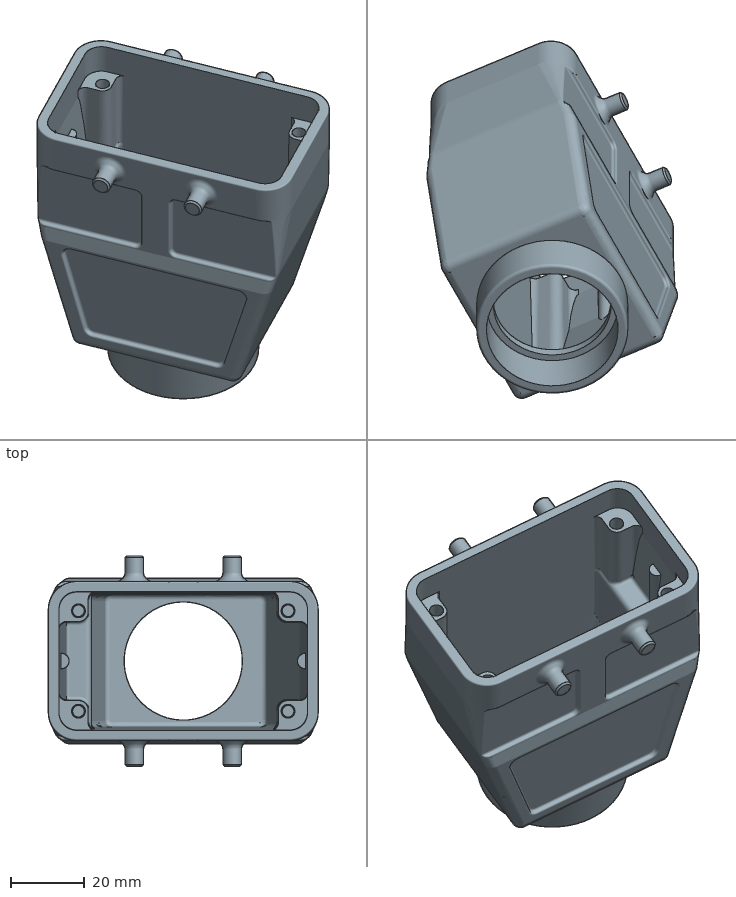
import cadquery as cq

TOTAL_HEIGHT = 85.0
BODY_BOTTOM = 13.0
RAMP_BOTTOM = 48.45
RAMP_TOP = 52.5
KNEE = 53.55
COLLAR_BOTTOM = 73.8

COLLAR_WIDTH = 73.2
COLLAR_HALF_X = COLLAR_WIDTH / 2
COLLAR_HALF_Y = 21.5
COLLAR_RADIUS = 7.65
BODY_HALF_Y = 22.4
BODY_RADIUS = 2.55
KNEE_HALF_X = 34.8
BOTTOM_HALF_X = 23.8
SIDE_SLOPE = (KNEE_HALF_X - BOTTOM_HALF_X) / (KNEE - BODY_BOTTOM)
RIM_FILLET = 0.4
KNEE_FILLET = 7.65
BOTTOM_FILLET = 2.5

NECK_DIAMETER = 41.0
NECK_FILLET = 0.85
OPENING_DIAMETER = 32.0
NECK_BORE_DIAMETER = 35.6

PIN_X = 13.3
PIN_Z = 78.8
PIN_RADIUS = 2.55
PIN_SPAN = 57.0
PIN_TIP_Y = PIN_SPAN / 2
PIN_TIP_CHAMFER = 0.5
PIN_CONE_HEIGHT = 1.6
PIN_BLEND = 1.5
PIN_PAD_MARGIN = 0.8

PANEL_DEPTH = 1.3
PANEL_FLOOR_FILLET = 0.7
PANEL_RIM_FILLET = 0.5
PANEL_END_FILLET = 0.4
RIB_HALF_WIDTH = 4.2
UPPER_PANEL_TOP = 73.7
UPPER_PANEL_BOTTOM = 53.2
UPPER_PANEL_RADIUS = 1.9
LOWER_PANEL_TOP = 47.4
LOWER_PANEL_BOTTOM = 18.1
LOWER_PANEL_TOP_HALF_X = 27.2
LOWER_PANEL_BOTTOM_HALF_X = 19.6
LOWER_PANEL_RADIUS = 2.4

MOUTH_HALF_X = 33.7
MOUTH_HALF_Y = 18.8
MOUTH_RADIUS = 4.8
CAVITY_KNEE_HALF_X = 31.6
CAVITY_FLOOR = 15.7
CAVITY_FLOOR_X_MIN = -20.8
CAVITY_FLOOR_X_MAX = 22.4
CAVITY_FLOOR_HALF_Y = 17.85
CAVITY_RADIUS = 1.7
CAVITY_FLOOR_FILLET = 1.3
WALL_DRAFT = (MOUTH_HALF_Y - CAVITY_FLOOR_HALF_Y) / (TOTAL_HEIGHT - CAVITY_FLOOR)

BOSS_TOP = 76.25
BOSS_INNER_X = 25.75
BOSS_INNER_Y = 10.7
BOSS_RADIUS = 2.55
BOSS_BLEND = 2.0
BOSS_DRAFT = 0.5
SCREW_X = 28.4
SCREW_Y = 13.6
SCREW_DIAMETER = 3.7
SCREW_DEPTH = 11.9
SCREW_DRAFT = 1.4
LEDGE_TOP = 52.7
LEDGE_INNER_X = -24.9
LEDGE_FILLET = 1.5
LEDGE_WALL_FILLET = 0.85
LEDGE_BOSS_FILLET = 0.85
END_RIB_TOP = 68.0
END_RIB_X = 33.1
END_RIB_RADIUS = 2.1

SIDES = (-1, 1)
NEARBY = 0.1
OVERLAP = 0.85
SLAB_HALF_X = COLLAR_WIDTH


def section(z, x_min, x_max, half_y, radius):
    """Closed rounded rectangle at height z."""
    corners = [(x_min, -half_y, z), (x_max, -half_y, z), (x_max, half_y, z), (x_min, half_y, z)]
    wire = cq.Wire.makePolygon([cq.Vector(*corner) for corner in corners], close=True)
    return wire.fillet2D(radius, wire.Vertices())


def centred_section(z, half_x, half_y, radius):
    return section(z, -half_x, half_x, half_y, radius)


def straight_loft(*sections):
    return cq.Workplane(cq.Solid.makeLoft(list(sections), True))


def box_between(low, high):
    size = [top - bottom for bottom, top in zip(low, high)]
    return cq.Workplane("XY", origin=low).box(*size, centered=False)


def edges_near(solid, low, high):
    """Edges of the solid whose centres lie in the given box."""
    return solid.edges(cq.selectors.BoxSelector(low, high))


def body_half_x(z):
    """Half width of the tapered lower body at height z."""
    return BOTTOM_HALF_X + SIDE_SLOPE * (z - BODY_BOTTOM)


def make_hood():
    """Outer hood: tapered body, ramp to the narrower upper part, and the straight collar."""
    hood = straight_loft(
        centred_section(BODY_BOTTOM, BOTTOM_HALF_X, BODY_HALF_Y, BODY_RADIUS),
        centred_section(RAMP_BOTTOM, body_half_x(RAMP_BOTTOM), BODY_HALF_Y, BODY_RADIUS),
        centred_section(RAMP_TOP, body_half_x(RAMP_TOP), COLLAR_HALF_Y, BODY_RADIUS),
        centred_section(KNEE, KNEE_HALF_X, COLLAR_HALF_Y, BODY_RADIUS),
        centred_section(COLLAR_BOTTOM, COLLAR_HALF_X, COLLAR_HALF_Y, COLLAR_RADIUS),
        centred_section(TOTAL_HEIGHT, COLLAR_HALF_X, COLLAR_HALF_Y, COLLAR_RADIUS),
    )
    hood = hood.faces("<Z").edges().fillet(BOTTOM_FILLET)
    hood = hood.faces(">Z").edges().fillet(RIM_FILLET)
    low = (-SLAB_HALF_X, -BODY_HALF_Y, KNEE - NEARBY)
    high = (SLAB_HALF_X, BODY_HALF_Y, KNEE + NEARBY)
    return edges_near(hood, low, high).edges("|Y").fillet(KNEE_FILLET)


def make_neck():
    neck = cq.Workplane("XY").circle(NECK_DIAMETER / 2).extrude(CAVITY_FLOOR)
    return neck.faces("<Z").edges().fillet(NECK_FILLET)


def make_panel(outline, corner_radius, floor_y):
    """Panel recess as a solid reaching outwards from y = floor_y on the -Y side."""
    panel = cq.Workplane("XZ", origin=(0, floor_y, 0)).polyline(outline).close().extrude(BODY_HALF_Y)
    panel = panel.edges("|Y").fillet(corner_radius)
    return panel.faces(">Y").edges().fillet(PANEL_FLOOR_FILLET)


def round_panel_rims(slab, half_y, z_min, z_max):
    """Round the panel rims lying in the two broad faces of the slab between two heights."""
    for side in SIDES:
        low = (OVERLAP - SLAB_HALF_X, side * half_y - NEARBY, z_min - NEARBY)
        high = (SLAB_HALF_X - OVERLAP, side * half_y + NEARBY, z_max + NEARBY)
        slab = edges_near(slab, low, high).fillet(PANEL_RIM_FILLET)
    return slab


def make_upper_slab():
    """Slab above the ramp with the four upper panels, which run out past the hood's ends."""
    outer_x = 2 * SLAB_HALF_X
    outline = [
        (RIB_HALF_WIDTH, UPPER_PANEL_TOP),
        (outer_x, UPPER_PANEL_TOP),
        (outer_x, UPPER_PANEL_BOTTOM),
        (RIB_HALF_WIDTH, UPPER_PANEL_BOTTOM),
    ]
    panel = make_panel(outline, UPPER_PANEL_RADIUS, PANEL_DEPTH - COLLAR_HALF_Y)
    pair = panel.union(panel.mirror("YZ"))
    slab = box_between(
        (-SLAB_HALF_X, -COLLAR_HALF_Y, RAMP_TOP),
        (SLAB_HALF_X, COLLAR_HALF_Y, TOTAL_HEIGHT),
    )
    slab = slab.cut(pair).cut(pair.mirror("XZ"))
    return round_panel_rims(slab, COLLAR_HALF_Y, UPPER_PANEL_BOTTOM, UPPER_PANEL_TOP)


def make_lower_slab():
    """Slab up to the ramp with a trapezoid panel on both broad sides."""
    outline = [
        (-LOWER_PANEL_TOP_HALF_X, LOWER_PANEL_TOP),
        (LOWER_PANEL_TOP_HALF_X, LOWER_PANEL_TOP),
        (LOWER_PANEL_BOTTOM_HALF_X, LOWER_PANEL_BOTTOM),
        (-LOWER_PANEL_BOTTOM_HALF_X, LOWER_PANEL_BOTTOM),
    ]
    panel = make_panel(outline, LOWER_PANEL_RADIUS, PANEL_DEPTH - BODY_HALF_Y)
    slab = box_between(
        (-SLAB_HALF_X, -BODY_HALF_Y, BODY_BOTTOM),
        (SLAB_HALF_X, BODY_HALF_Y, RAMP_TOP),
    )
    slab = slab.cut(panel).cut(panel.mirror("XZ"))
    return round_panel_rims(slab, BODY_HALF_Y, LOWER_PANEL_BOTTOM, LOWER_PANEL_TOP)


def make_pin():
    """Pin on the -Y side: shaft, 45 degree root cone and a pad flush with the wall, blended together."""
    shaft_start = COLLAR_HALF_Y + PIN_CONE_HEIGHT
    pad_radius = PIN_RADIUS + PIN_CONE_HEIGHT + PIN_PAD_MARGIN
    pin = (
        cq.Workplane("XY")
        .polyline([
            (0, -MOUTH_HALF_Y),
            (pad_radius, -MOUTH_HALF_Y),
            (pad_radius, -COLLAR_HALF_Y),
            (PIN_RADIUS + PIN_CONE_HEIGHT, -COLLAR_HALF_Y),
            (PIN_RADIUS, -shaft_start),
            (PIN_RADIUS, -PIN_TIP_Y),
            (0, -PIN_TIP_Y),
        ])
        .close()
        .revolve(360, (0, 0, 0), (0, 1, 0))
    )
    pin = pin.faces("<Y").edges().chamfer(PIN_TIP_CHAMFER)
    cone_reach = PIN_RADIUS + PIN_CONE_HEIGHT
    low = (-cone_reach, NEARBY - shaft_start, -cone_reach)
    high = (cone_reach, -NEARBY - COLLAR_HALF_Y, cone_reach)
    cone = pin.faces(cq.selectors.BoxSelector(low, high))
    pin = cone.edges("%CIRCLE").fillet(PIN_BLEND)
    return pin.translate((0, 0, PIN_Z))


def make_boss():
    """Corner screw boss for +X and +Y, blended into both walls, with a tapered screw hole."""
    arc = BOSS_BLEND * (1 - 0.5 ** 0.5)
    boss = (
        cq.Workplane("XY", origin=(0, 0, BOSS_TOP))
        .moveTo(BOSS_INNER_X + BOSS_RADIUS, BOSS_INNER_Y)
        .lineTo(MOUTH_HALF_X - BOSS_BLEND, BOSS_INNER_Y)
        .threePointArc((MOUTH_HALF_X - arc, BOSS_INNER_Y - arc), (MOUTH_HALF_X, BOSS_INNER_Y - BOSS_BLEND))
        .lineTo(COLLAR_HALF_X, BOSS_INNER_Y - BOSS_BLEND)
        .lineTo(COLLAR_HALF_X, COLLAR_HALF_Y)
        .lineTo(BOSS_INNER_X - BOSS_BLEND, COLLAR_HALF_Y)
        .lineTo(BOSS_INNER_X - BOSS_BLEND, MOUTH_HALF_Y)
        .threePointArc((BOSS_INNER_X - arc, MOUTH_HALF_Y - arc), (BOSS_INNER_X, MOUTH_HALF_Y - BOSS_BLEND))
        .lineTo(BOSS_INNER_X, BOSS_INNER_Y + BOSS_RADIUS)
        .radiusArc((BOSS_INNER_X + BOSS_RADIUS, BOSS_INNER_Y), -BOSS_RADIUS)
        .close()
        .extrude(BODY_BOTTOM - BOSS_TOP, taper=-BOSS_DRAFT)
    )
    hole = cq.Workplane("XY", origin=(SCREW_X, SCREW_Y, BOSS_TOP)).circle(SCREW_DIAMETER / 2)
    return boss.cut(hole.extrude(-SCREW_DEPTH, taper=SCREW_DRAFT))


def make_ledge():
    """Thick wall at the -X end, from the cavity floor up to a level ledge."""
    ledge = box_between(
        (-COLLAR_HALF_X, -BODY_HALF_Y, BODY_BOTTOM),
        (LEDGE_INNER_X, BODY_HALF_Y, LEDGE_TOP),
    )
    return ledge.edges(">X and >Z").fillet(LEDGE_FILLET)


def cavity_half_y(z):
    return CAVITY_FLOOR_HALF_Y + WALL_DRAFT * (z - CAVITY_FLOOR)


def make_cavity():
    """Solid of the empty space: lofted inner walls less the bosses, ledge and end ribs."""
    cavity = straight_loft(
        section(CAVITY_FLOOR, CAVITY_FLOOR_X_MIN, CAVITY_FLOOR_X_MAX, CAVITY_FLOOR_HALF_Y, CAVITY_RADIUS),
        centred_section(KNEE, CAVITY_KNEE_HALF_X, cavity_half_y(KNEE), CAVITY_RADIUS),
        centred_section(COLLAR_BOTTOM, MOUTH_HALF_X, cavity_half_y(COLLAR_BOTTOM), MOUTH_RADIUS),
        centred_section(TOTAL_HEIGHT, MOUTH_HALF_X, MOUTH_HALF_Y, MOUTH_RADIUS),
    )
    cavity = cavity.faces("<Z").edges().fillet(CAVITY_FLOOR_FILLET)
    cavity = cavity.cut(make_ledge())
    low = (-CAVITY_KNEE_HALF_X, -BODY_HALF_Y, LEDGE_TOP - NEARBY)
    high = (OVERLAP - CAVITY_KNEE_HALF_X, BODY_HALF_Y, LEDGE_TOP + NEARBY)
    cavity = edges_near(cavity, low, high).fillet(LEDGE_WALL_FILLET)
    boss = make_boss()
    pair = boss.union(boss.mirror("YZ"))
    cavity = cavity.cut(pair).cut(pair.mirror("XZ"))
    low = (-CAVITY_KNEE_HALF_X, -BOSS_INNER_Y - BOSS_BLEND, LEDGE_TOP - NEARBY)
    high = (LEDGE_INNER_X - NEARBY, BOSS_INNER_Y + BOSS_BLEND, LEDGE_TOP + NEARBY)
    cavity = edges_near(cavity, low, high).edges("%CIRCLE or |X").fillet(LEDGE_BOSS_FILLET)
    for side in SIDES:
        rib = cq.Workplane("XY", origin=(side * END_RIB_X, 0, BODY_BOTTOM)).circle(END_RIB_RADIUS)
        cavity = cavity.cut(rib.extrude(END_RIB_TOP - BODY_BOTTOM))
    return cavity


def make_bore():
    """Wide neck bore up to the hood, then the narrower opening into the cavity."""
    neck_bore = cq.Workplane("XY").circle(NECK_BORE_DIAMETER / 2).extrude(BODY_BOTTOM)
    opening = cq.Workplane("XY").circle(OPENING_DIAMETER / 2).extrude(CAVITY_FLOOR + OVERLAP)
    return neck_bore.union(opening)


def round_panel_ends(hood):
    """Round the edges where the upper panel floors run out at the hood's tapered corners."""
    floor_y = COLLAR_HALF_Y - PANEL_DEPTH
    for side in SIDES:
        low = (-COLLAR_HALF_X, side * floor_y - NEARBY, KNEE + OVERLAP)
        high = (COLLAR_HALF_X, side * floor_y + NEARBY, COLLAR_BOTTOM - OVERLAP)
        hood = edges_near(hood, low, high).edges("%BSPLINE").fillet(PANEL_END_FILLET)
    return hood


result = make_hood().intersect(make_upper_slab().union(make_lower_slab()))
result = round_panel_ends(result)
result = result.union(make_neck())
for side in SIDES:
    pin = make_pin().translate((side * PIN_X, 0, 0))
    result = result.union(pin).union(pin.mirror("XZ"))
result = result.cut(make_cavity()).cut(make_bore())